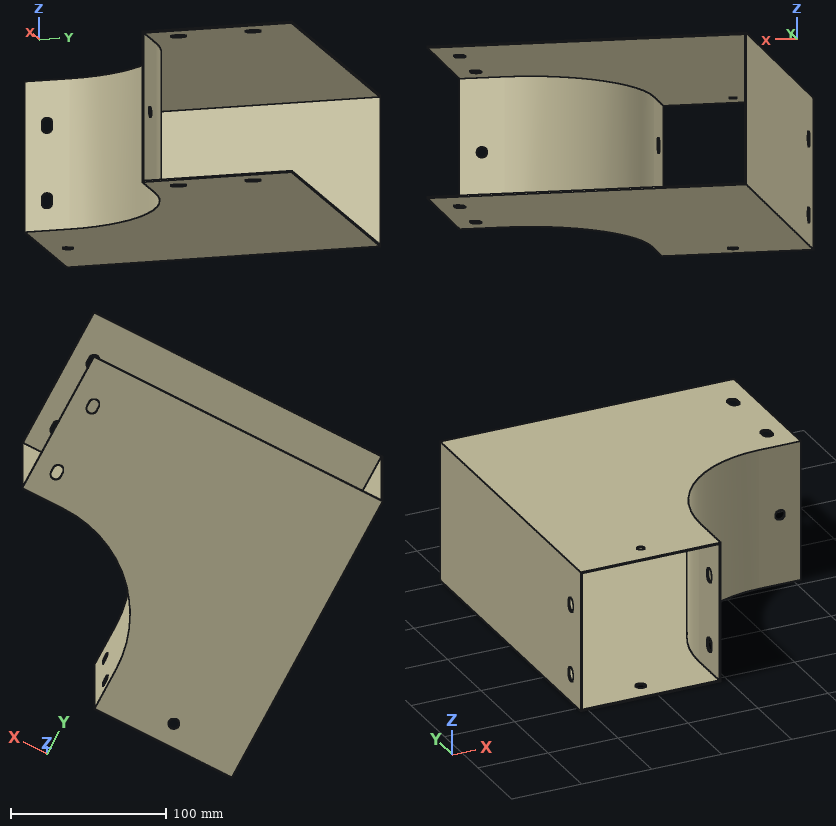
import cadquery as cq

length = 210.0
duct = 100.0
wall = 1.0
inside_radius = 80.0

edge_distance = 15.0
slot_length = 10.0
slot_width = 7.0
slot_offsets = (20.0, 70.0)
hole_diameter = 7.0
cover_hole_diameter = 5.0

fixing_x = length - edge_distance
fixing_y = edge_distance
inner_wall_y = length - duct
cut_depth = 2 * wall


def elbow_body():
    """Solid L-shaped elbow with a rounded inner corner."""
    arc_center = (duct + inside_radius, inner_wall_y - inside_radius)
    diagonal = inside_radius * 0.5 ** 0.5
    return (
        cq.Workplane("XY")
        .moveTo(0, 0)
        .lineTo(duct, 0)
        .lineTo(duct, arc_center[1])
        .threePointArc(
            (arc_center[0] - diagonal, arc_center[1] + diagonal),
            (arc_center[0], inner_wall_y),
        )
        .lineTo(length, inner_wall_y)
        .lineTo(length, length)
        .lineTo(0, length)
        .close()
        .extrude(duct)
    )


def hollow(body):
    """Shell inwards, leaving both mouths and the +Y side open."""
    mouth_and_side = body.faces("<Y or >X or >Y")
    return mouth_and_side.shell(-wall, kind="intersection")


def slots_across_x_leg():
    """Slots through the floor and the top, long in Y."""
    centers = [(fixing_x, inner_wall_y + offset) for offset in slot_offsets]
    return cq.Workplane("XY").pushPoints(centers).slot2D(slot_length, slot_width, 90).extrude(duct)


def slots_across_y_leg():
    """Slots through the outer and inner side walls, long in Z."""
    centers = [(fixing_y, offset) for offset in slot_offsets]
    return cq.Workplane("YZ").pushPoints(centers).slot2D(slot_length, slot_width, 90).extrude(duct)


def inner_wall_hole():
    """Round hole through the inner wall of the +X leg."""
    return (
        cq.Workplane("XZ", origin=(fixing_x, inner_wall_y + cut_depth, duct / 2))
        .circle(hole_diameter / 2)
        .extrude(2 * cut_depth)
    )


def hole_along_z(diameter, sheet_z):
    """Round hole through the floor or the top of the -Y leg."""
    return (
        cq.Workplane("XY", origin=(duct / 2, fixing_y, sheet_z - cut_depth))
        .circle(diameter / 2)
        .extrude(2 * cut_depth)
    )


result = (
    hollow(elbow_body())
    .cut(slots_across_x_leg())
    .cut(slots_across_y_leg())
    .cut(inner_wall_hole())
    .cut(hole_along_z(hole_diameter, 0))
    .cut(hole_along_z(cover_hole_diameter, duct))
)